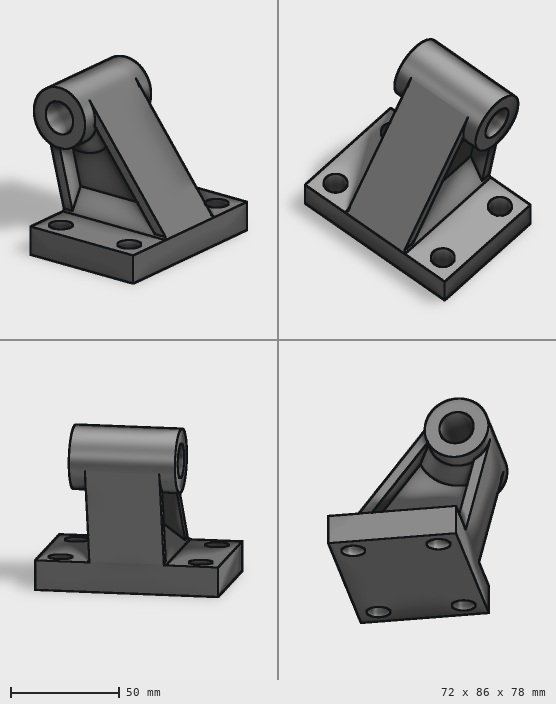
import cadquery as cq
import math

plate_length = 60.0
plate_width = 86.0
plate_height = 14.0
mount_hole_diameter = 11.0
mount_hole_spacing_x = 40.0
mount_hole_spacing_y = 66.0

boss_radius = 15.0
boss_length = 50.0
bore_diameter = 16.0
boss_x = 3.0
boss_z = 63.0

flange_width = 35.0
flange_thickness = 5.0
web_thickness = 17.0
base_bevel = 10.0
boss_bevel = 7.0


def tangent_normal(foot_x, side):
    """Unit normal of the line from a foot on the plate tangent to the boss; side is -1 or 1."""
    dx = foot_x - boss_x
    dz = plate_height - boss_z
    angle = math.atan2(dz, dx) + side * math.acos(boss_radius / math.hypot(dx, dz))
    return math.cos(angle), math.sin(angle)


def bracket_prism(inset, width):
    """Prism between the two tangent lines, each moved inward by inset."""
    left_x, left_z = tangent_normal(0, -1)
    right_x, right_z = tangent_normal(plate_length, 1)
    reach = boss_radius - inset
    outline = [
        (-inset / left_x, plate_height),
        (boss_x + reach * left_x, boss_z + reach * left_z),
        (boss_x + reach * right_x, boss_z + reach * right_z),
        (plate_length - inset / right_x, plate_height),
    ]
    return cq.Workplane("XZ").polyline(outline).close().extrude(width / 2, both=True)


def boss_cylinder(radius, length):
    return cq.Workplane("XZ").center(boss_x, boss_z).circle(radius).extrude(length / 2, both=True)


def make_plate():
    plate = cq.Workplane("XY").box(plate_length, plate_width, plate_height, centered=(False, True, False))
    return (
        plate.faces(">Z").workplane(origin=(plate_length / 2, 0, plate_height))
        .rarray(mount_hole_spacing_x, mount_hole_spacing_y, 2, 2)
        .hole(mount_hole_diameter)
    )


def make_base_bevel():
    """Trapezoidal ridge along X that widens the web where it meets the plate."""
    half_web = web_thickness / 2
    half_foot = half_web + base_bevel
    profile = [
        (-half_foot, plate_height),
        (half_foot, plate_height),
        (half_web, plate_height + base_bevel),
        (-half_web, plate_height + base_bevel),
    ]
    return cq.Workplane("YZ").polyline(profile).close().extrude(plate_length)


def make_boss_bevel():
    """Ring around the boss, conical on both sides of the web."""
    full_width = web_thickness + 2 * boss_bevel
    return boss_cylinder(boss_radius + boss_bevel, full_width).faces("<Y or >Y").chamfer(boss_bevel)


def make_bracket():
    outer = bracket_prism(0, plate_width)
    flanges = bracket_prism(0, flange_width).cut(bracket_prism(flange_thickness, flange_width))
    web = bracket_prism(0, web_thickness)
    bevels = make_base_bevel().union(make_boss_bevel()).intersect(outer)
    return flanges.union(web).union(bevels)


result = (
    make_plate()
    .union(make_bracket())
    .union(boss_cylinder(boss_radius, boss_length))
    .cut(boss_cylinder(bore_diameter / 2, boss_length))
)